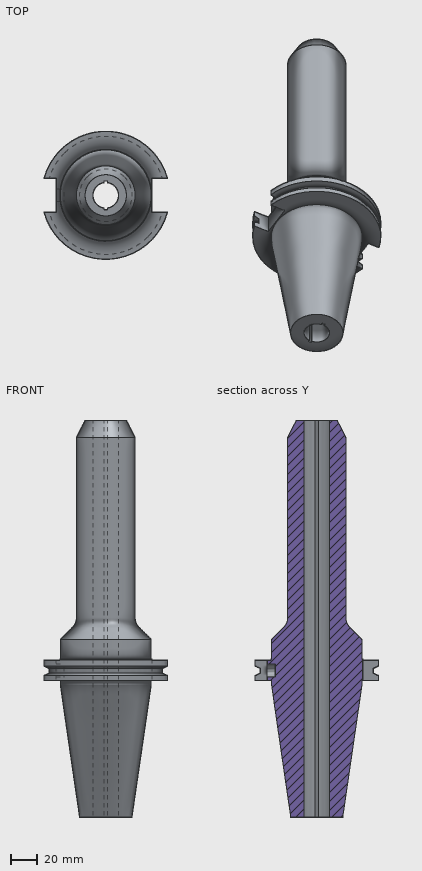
import cadquery as cq
import math

total_length = 304.8
gauge_z = 101.5
flange_bottom_z = 105.0
flange_top_z = 120.7
body_top_z = 136.5
nose_cone_height = 13.0

taper_small_radius = 20.0
gauge_diameter = 69.8
gauge_radius = gauge_diameter / 2
flange_diameter = 98.5
flange_radius = flange_diameter / 2
body_radius = gauge_radius
shank_radius = 22.5
nose_radius = 16.0
bore_radius = 9.8

collar_height = 1.0
collar_step = 0.43

groove_center_z = 112.5
groove_mouth_width = 7.3
groove_floor_width = 3.7
groove_floor_radius = 45.5

shoulder_angle = math.radians(45)
blend_radius = 10.5

slot_width = 26.0
left_slot_floor_x = -38.0
right_slot_floor_x = 35.5

recess_diameter = 9.8
recess_depth = 6.0
recess_z = (flange_bottom_z + flange_top_z) / 2

keyway_width = 2.5
keyway_reach = 11.0


def make_turned_body():
    blend_outer_radius = shank_radius + blend_radius * (1 - math.cos(shoulder_angle))
    blend_bottom_z = body_top_z + (body_radius - blend_outer_radius) / math.tan(shoulder_angle)
    blend_top_z = blend_bottom_z + blend_radius * math.sin(shoulder_angle)
    half_angle = shoulder_angle / 2
    blend_middle = (
        shank_radius + blend_radius * (1 - math.cos(half_angle)),
        blend_top_z - blend_radius * math.sin(half_angle),
    )
    collar_radius = body_radius + collar_step
    collar_top_z = flange_top_z + collar_height
    profile = (
        cq.Workplane("XZ")
        .moveTo(0, 0)
        .lineTo(taper_small_radius, 0)
        .lineTo(gauge_radius, gauge_z)
        .lineTo(gauge_radius, flange_bottom_z)
        .lineTo(flange_radius, flange_bottom_z)
        .lineTo(flange_radius, groove_center_z - groove_mouth_width / 2)
        .lineTo(groove_floor_radius, groove_center_z - groove_floor_width / 2)
        .lineTo(groove_floor_radius, groove_center_z + groove_floor_width / 2)
        .lineTo(flange_radius, groove_center_z + groove_mouth_width / 2)
        .lineTo(flange_radius, flange_top_z)
        .lineTo(collar_radius, flange_top_z)
        .lineTo(collar_radius, collar_top_z)
        .lineTo(body_radius, collar_top_z)
        .lineTo(body_radius, body_top_z)
        .lineTo(blend_outer_radius, blend_bottom_z)
        .threePointArc(blend_middle, (shank_radius, blend_top_z))
        .lineTo(shank_radius, total_length - nose_cone_height)
        .lineTo(nose_radius, total_length)
        .lineTo(0, total_length)
        .close()
    )
    return profile.revolve(360, (0, 0, 0), (0, 1, 0))


def make_drive_slot(floor_x):
    outer_x = math.copysign(flange_radius, floor_x)
    return (
        cq.Workplane("XY", origin=((floor_x + outer_x) / 2, 0, flange_bottom_z))
        .rect(abs(outer_x - floor_x), slot_width)
        .extrude(flange_top_z - flange_bottom_z)
    )


def make_recess():
    return (
        cq.Workplane("YZ", origin=(left_slot_floor_x, 0, recess_z))
        .circle(recess_diameter / 2)
        .extrude(recess_depth)
    )


def make_bore():
    bore = cq.Workplane("XY").circle(bore_radius).extrude(total_length)
    keyways = cq.Workplane("XY").rect(keyway_width, 2 * keyway_reach).extrude(total_length)
    return bore.union(keyways)


result = make_turned_body().cut(make_bore()).cut(make_recess())
for slot_floor_x in (left_slot_floor_x, right_slot_floor_x):
    result = result.cut(make_drive_slot(slot_floor_x))